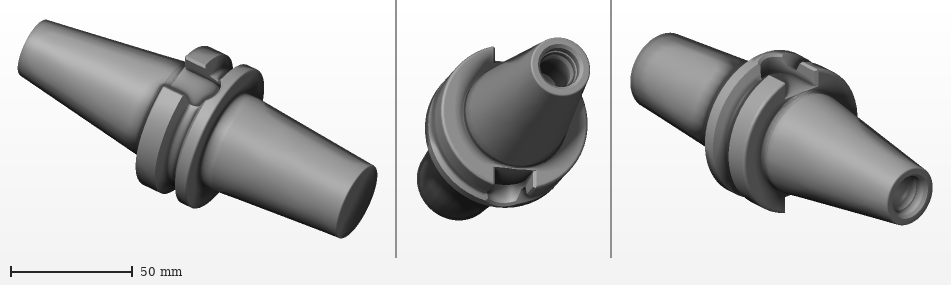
import cadquery as cq
import math

total_length = 155.4
shank_length = 65.4
shank_end = -shank_length
nose_end = shank_end + total_length
neck_start = -1.2
flange_start = 2.0
flange_end = 27.0
nose_collar_end = 32.8

gauge_radius = 44.45 / 2
taper_slope = 7 / 48
shank_end_fillet = 0.8
neck_radius = 21.9
neck_step_length = 0.4
neck_fillet = 0.8

flange_radius = 31.5
flange_front_fillet = 1.25
flange_rear_fillet = 0.8
groove_center = 16.6
groove_mouth_width = 9.7
groove_front_edge = groove_center - groove_mouth_width / 2
groove_rear_edge = groove_center + groove_mouth_width / 2
groove_floor_radius = 26.5
groove_flank_angle = 60
groove_fillet = 1.0

nose_collar_radius = 21.0
nose_half_angle = 4.5
nose_end_fillet = 0.6
nose_root_fillet = 0.8

slot_width = 16.3
slot_floor_height = 22.5
slot_end = 23.4
slot_edge_chamfer = 1.1

bore_mouth_radius = 9.75
bore_mouth_depth = 1.3
pilot_radius = 8.5
pilot_depth = 5.1
relief_radius = 8.0
relief_start = 5.3
relief_depth = 8.2
lead_radius = 7.4
lead_start = 8.9
thread_radius = 6.9
thread_start = 10.1
thread_depth = 30.0
drill_point_angle = 118

pick_slack = 0.01


def taper_radius(x):
    return gauge_radius + taper_slope * x


def revolved(outline):
    """Solid of revolution about the X axis from (x, radius) points that start and end on the axis."""
    points = [(x, -radius) for x, radius in outline]
    return cq.Workplane("XY").polyline(points).close().revolve(360, (0, 0, 0), (1, 0, 0))


def round_circle(body, x, radius, fillet):
    """Fillet the circular edge of the given radius about the X axis at station x."""

    def is_wanted(edge):
        if edge.geomType() != "CIRCLE":
            return False
        return abs(edge.Center().x - x) < pick_slack and abs(edge.radius() - radius) < pick_slack

    return body.edges().filter(is_wanted).fillet(fillet)


def make_body():
    """Turned shape, with the front rim of the flange left sharp."""
    nose_taper_length = nose_end - nose_collar_end
    nose_end_radius = nose_collar_radius - nose_taper_length * math.tan(math.radians(nose_half_angle))
    groove_run = (flange_radius - groove_floor_radius) / math.tan(math.radians(groove_flank_angle))
    groove_floor_start = groove_front_edge + groove_run
    groove_floor_end = groove_rear_edge - groove_run
    outline = [
        (shank_end, 0),
        (shank_end, taper_radius(shank_end)),
        (neck_start, taper_radius(neck_start)),
        (neck_start + neck_step_length, neck_radius),
        (flange_start, neck_radius),
        (flange_start, flange_radius),
        (groove_front_edge, flange_radius),
        (groove_floor_start, groove_floor_radius),
        (groove_floor_end, groove_floor_radius),
        (groove_rear_edge, flange_radius),
        (flange_end, flange_radius),
        (flange_end, nose_collar_radius),
        (nose_collar_end, nose_collar_radius),
        (nose_end, nose_end_radius),
        (nose_end, 0),
    ]
    fillets = [
        (shank_end, taper_radius(shank_end), shank_end_fillet),
        (flange_start, neck_radius, neck_fillet),
        (groove_floor_start, groove_floor_radius, groove_fillet),
        (groove_floor_end, groove_floor_radius, groove_fillet),
        (flange_end, flange_radius, flange_rear_fillet),
        (flange_end, nose_collar_radius, nose_root_fillet),
        (nose_end, nose_end_radius, nose_end_fillet),
    ]
    body = revolved(outline)
    for x, radius, fillet in fillets:
        body = round_circle(body, x, radius, fillet)
    return body


def make_slot(side):
    """Cutter for the drive slot on the +Z (side 1) or -Z (side -1) side, with a half-round end."""
    half_width = slot_width / 2
    arc_center = slot_end - half_width
    return (
        cq.Workplane("XY", origin=(0, 0, side * slot_floor_height))
        .moveTo(flange_start, -half_width)
        .lineTo(arc_center, -half_width)
        .threePointArc((slot_end, 0), (arc_center, half_width))
        .lineTo(flange_start, half_width)
        .close()
        .extrude(side * flange_radius)
    )


def is_slot_mouth_edge(edge):
    """True where a straight slot wall meets the front face or the front rim of the flange."""
    box = edge.BoundingBox()
    on_wall = box.ylen < pick_slack and abs(abs(box.center.y) - slot_width / 2) < pick_slack
    above_floor = abs(box.center.z) > slot_floor_height + pick_slack
    return on_wall and above_floor and box.xmax < groove_front_edge + pick_slack


def is_slot_end_edge(edge):
    """True where the half-round slot end meets the rear rim of the flange."""
    box = edge.BoundingBox()
    in_reach = box.xmin > groove_rear_edge - pick_slack and box.xmax < slot_end + pick_slack
    at_rim = max(box.zmax, -box.zmin) > flange_radius - pick_slack
    return in_reach and at_rim and box.ylen < slot_width


def is_front_rim_edge(edge):
    """True for the arcs of the flange's front rim that are left between the slots."""
    box = edge.BoundingBox()
    middle = edge.positionAt(0.5)
    on_front_face = box.xlen < pick_slack and abs(box.center.x - flange_start) < pick_slack
    return on_front_face and abs(math.hypot(middle.y, middle.z) - flange_radius) < pick_slack


def cut_slots(body):
    """Cut both drive slots and chamfer their outer edges."""
    for side in (1, -1):
        body = body.cut(make_slot(side))
    slot_edges = body.edges().filter(lambda edge: is_slot_mouth_edge(edge) or is_slot_end_edge(edge))
    return slot_edges.chamfer(slot_edge_chamfer)


def make_bore():
    """Cutter for the stepped, blind pull stud bore with its drill point."""
    point_length = thread_radius / math.tan(math.radians(drill_point_angle / 2))
    outline = [
        (0, 0),
        (0, bore_mouth_radius),
        (bore_mouth_depth, pilot_radius),
        (pilot_depth, pilot_radius),
        (relief_start, relief_radius),
        (relief_depth, relief_radius),
        (lead_start, lead_radius),
        (thread_start, thread_radius),
        (thread_depth, thread_radius),
        (thread_depth + point_length, 0),
    ]
    return revolved(outline).translate((shank_end, 0, 0))


slotted_body = cut_slots(make_body())
rounded_body = slotted_body.edges().filter(is_front_rim_edge).fillet(flange_front_fillet)
result = rounded_body.cut(make_bore())